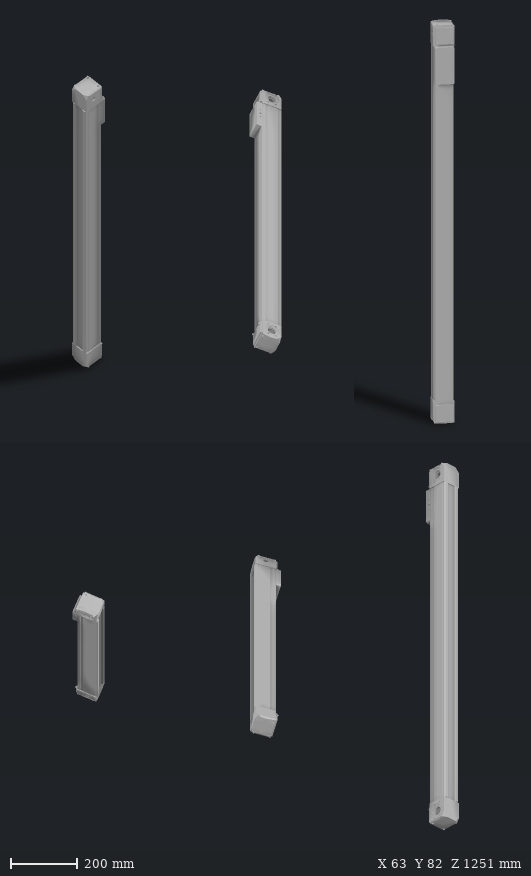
import cadquery as cq
import math

length = 1251.0
width = 63.0
front_y = -41.0
back_y = 25.0
carriage_back_y = 41.0
head_length = 70.0
profile_length = length - 2 * head_length

profile_half = 29.0
back_half = 28.0
side_bulge = 0.4
curve_start_y = 14.0
foot_inner = 14.0
channel_depth = 6.0
foot_chamfer = 4.0
side_grooves = [(10.0, 8.0), (-30.0, 4.0)]
side_groove_depth = 1.0

head_front_y = -39.0
head_depth = back_y - head_front_y
head_mid_y = (back_y + head_front_y) / 2
head_mid_z = length / 2 - head_length / 2
edge_chamfer = 5.0
chamfer_front_y = -26.0
chamfer_back_y = 23.0
corner_cut_xz = 16.0
corner_cut_y = 10.0

hexagon_mid_y = -6.0
hexagon_half_y = 11.0
hexagon_half_flat = 14.0
hexagon_half_point = 25.0
end_slope = math.tan(math.radians(3.5))

end_hole_diameter = 7.0
end_hole_depth = 6.0
end_hole_y = 19.0

bearing_y = -8.0
bearing_z = 593.0
seat_screw_diameter = 6.0
seat_screw_depth = 4.0
seat_screw_y = 13.0
seat_screw_z = 24.0
upper_seat = [(48.0, 1.0), (43.0, 3.0), (29.0, 5.0), (25.0, 8.0)]
lower_seat = [(48.0, 1.0), (38.0, 3.0), (29.0, 5.0), (25.0, 10.0)]
shaft_bore = 16.0

pad_half = 29.0
pad_thickness = 5.0
pad_draft = 1.0
pad_bottom_z = 565.0
pad_top_z = 618.0
screw_diameter = 7.0
screw_height = 4.0
screw_x = 23.0
screw_z = 569.0

carriage_half = 29.0
carriage_bottom_z = 443.0
carriage_top_z = 559.0
carriage_chamfer = 4.0
carriage_mid_z = (carriage_bottom_z + carriage_top_z) / 2
carriage_hole_y = 30.0
carriage_hole_pitch = 18.0
carriage_hole_depth = 6.0
carriage_hole_diameter = 5.0
carriage_port_diameter = 7.0


def box_between(x_range, y_range, z_range):
    """Box spanning the given (low, high) ranges."""
    sizes = [high - low for low, high in (x_range, y_range, z_range)]
    corner = (x_range[0], y_range[0], z_range[0])
    return cq.Workplane("XY").box(*sizes, centered=False).translate(corner)


def cut_beyond_plane(body, point, normal):
    """Remove the part of the body lying outside the plane through the point."""
    outside = cq.Workplane(cq.Plane(origin=point, normal=normal)).rect(length, length).extrude(length)
    return body.cut(outside)


def side_hole(diameter, depth, y, z, face_x):
    """Round cutter going in the +X direction from the side face at face_x."""
    plane = cq.Plane(origin=(face_x, y, z), xDir=(0, 1, 0), normal=(1, 0, 0))
    return cq.Workplane(plane).circle(diameter / 2).extrude(depth)


def make_profile():
    """Extruded beam with two chamfered feet, grooved sides and curved shoulders."""
    chord_mid_x = (profile_half + back_half) / 2 + side_bulge
    chord_mid_y = (curve_start_y + back_y) / 2
    channel_y = front_y + channel_depth
    section = (
        cq.Workplane("XY", origin=(0, 0, -profile_length / 2))
        .moveTo(-profile_half, front_y)
        .lineTo(-foot_inner, front_y)
        .lineTo(-foot_inner, channel_y)
        .lineTo(foot_inner, channel_y)
        .lineTo(foot_inner, front_y)
        .lineTo(profile_half, front_y)
        .lineTo(profile_half, curve_start_y)
        .threePointArc((chord_mid_x, chord_mid_y), (back_half, back_y))
        .lineTo(-back_half, back_y)
        .threePointArc((-chord_mid_x, chord_mid_y), (-profile_half, curve_start_y))
        .close()
    )
    beam = section.extrude(profile_length)
    beam = beam.faces("<Y").edges("|Z").chamfer(foot_chamfer)
    for groove_y, groove_width in side_grooves:
        groove = cq.Workplane("XY").box(2 * side_groove_depth, groove_width, profile_length)
        for side in (-1, 1):
            beam = beam.cut(groove.translate((side * profile_half, groove_y, 0)))
    return beam


def slope_end_face(head):
    """Slope the end face away from its central hexagon: front, back and four corners."""
    corner_slope = end_slope * hexagon_half_y / (hexagon_half_point - hexagon_half_flat)
    for y_side in (-1, 1):
        edge_y = hexagon_mid_y + y_side * hexagon_half_y
        head = cut_beyond_plane(head, (0, edge_y, length / 2), (0, y_side * end_slope, 1))
        for x_side in (-1, 1):
            vertex = (x_side * hexagon_half_flat, edge_y, length / 2)
            normal = (x_side * corner_slope, y_side * end_slope, 1)
            head = cut_beyond_plane(head, vertex, normal)
    return head


def cut_head_edges(head):
    """Chamfer the long outer edges and slant the front corners."""
    for side in (-1, 1):
        edge = (
            cq.Workplane("XZ", origin=(0, chamfer_back_y, 0))
            .moveTo(side * width / 2, length / 2)
            .lineTo(side * (width / 2 - edge_chamfer), length / 2)
            .lineTo(side * width / 2, length / 2 - edge_chamfer)
            .close()
            .extrude(chamfer_back_y - chamfer_front_y)
        )
        head = head.cut(edge)
        point = (side * (width / 2 - corner_cut_xz), head_front_y, length / 2)
        normal = (side / corner_cut_xz, -1 / corner_cut_y, 1 / corner_cut_xz)
        head = cut_beyond_plane(head, point, normal)
    return head


def drill_end_holes(head):
    """Drill the two blind holes into the end face."""
    holes = (
        cq.Workplane("XY", origin=(0, 0, length / 2))
        .pushPoints([(-screw_x, end_hole_y), (screw_x, end_hole_y)])
        .circle(end_hole_diameter / 2)
        .extrude(-end_hole_depth)
    )
    return head.cut(holes)


def add_cover_pad(head):
    """Add the drafted cover pad and its two screw heads to the back of the head."""
    pad_back_y = back_y + pad_thickness
    pad = (
        cq.Workplane("XY", origin=(0, 0, pad_bottom_z))
        .polyline([
            (-pad_half, back_y),
            (pad_half, back_y),
            (pad_half - pad_draft, pad_back_y),
            (-pad_half + pad_draft, pad_back_y),
        ])
        .close()
        .extrude(pad_top_z - pad_bottom_z)
    )
    screws = (
        cq.Workplane("XZ", origin=(0, back_y, 0))
        .pushPoints([(-screw_x, screw_z), (screw_x, screw_z)])
        .circle(screw_diameter / 2)
        .extrude(-pad_thickness - screw_height)
    )
    return head.union(pad).union(screws)


def make_head(seat):
    """Drive head at the +Z end with a stepped bearing seat on its -X side."""
    head = cq.Workplane("XY").box(width, head_depth, head_length)
    head = head.translate((0, head_mid_y, head_mid_z))
    head = slope_end_face(head)
    head = cut_head_edges(head)
    head = drill_end_holes(head)
    head = add_cover_pad(head)
    for diameter, depth in seat:
        head = head.cut(side_hole(diameter, depth, bearing_y, bearing_z, -width / 2))
    for y_side in (-1, 1):
        for z_side in (-1, 1):
            screw_hole = side_hole(
                seat_screw_diameter,
                seat_screw_depth,
                bearing_y + y_side * seat_screw_y,
                bearing_z + z_side * seat_screw_z,
                -width / 2,
            )
            head = head.cut(screw_hole)
    return head


def make_carriage():
    """Carriage plate with chamfered ends and three round holes in its -X side."""
    carriage = box_between(
        (-carriage_half, carriage_half),
        (back_y, carriage_back_y),
        (carriage_bottom_z, carriage_top_z),
    )
    carriage = carriage.faces("<X or >X").edges("|Y").chamfer(carriage_chamfer)
    holes = [
        (-carriage_hole_pitch, carriage_hole_diameter),
        (0, carriage_port_diameter),
        (carriage_hole_pitch, carriage_hole_diameter),
    ]
    for offset, diameter in holes:
        hole_z = carriage_mid_z + offset
        hole = side_hole(diameter, carriage_hole_depth, carriage_hole_y, hole_z, -carriage_half)
        carriage = carriage.cut(hole)
    return carriage


profile = make_profile()
upper_head = make_head(upper_seat).cut(side_hole(shaft_bore, width, bearing_y, bearing_z, -width / 2))
lower_head = make_head(lower_seat).mirror("XY")
carriage = make_carriage()

result = cq.Compound.makeCompound([
    profile.val(),
    upper_head.val(),
    lower_head.val(),
    carriage.val(),
])